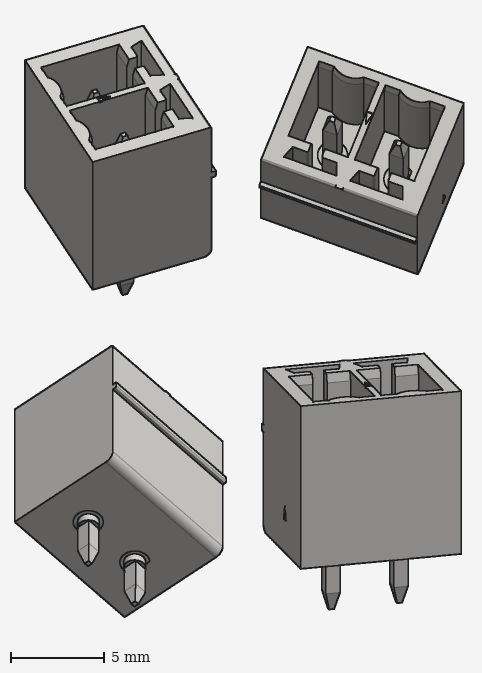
import cadquery as cq
import math


width = 9.01
height = 9.2
front_y = -2.99
depth = 6.99
back_y = front_y + depth
bottom_round = 0.5
top_round = 0.11
tab_width = 0.42

ridge_out = 0.25
ridge_height = 0.4
ridge_z = 5.57
ridge_round = 0.11

pole_pitch = 3.82
pole_xs = [-pole_pitch / 2, pole_pitch / 2]
floor_z = 2.52
divider = 0.39
socket_width = pole_pitch - divider
socket_front_y = front_y + 0.69
socket_back_y = front_y + 5.0
lead_in = 0.14
lead_in_drop = 0.5

rib_radius = 1.49
rib_reach = 0.3
rib_center_y = socket_front_y + rib_reach - rib_radius

slot_width = 0.8
slot_round = 0.08
dovetail_front_y = front_y + 5.66
dovetail_back_y = front_y + 6.36
dovetail_front_width = 2.52
dovetail_back_width = 3.02
dovetail_floor_z = 1.01

mark_depth = 0.1
side_mark_width = 0.42
side_mark_length = 0.75
side_mark_z = 1.85
top_mark_width = 0.37
top_mark_length = 0.7
top_mark_y = front_y + 2.32

pin_side = 0.81
tip_side = 0.28
tip_length = 1.01
total_height = 12.6
tail_bottom_z = height - total_height
contact_top_z = 7.99

seat_radius = 0.81
seat_flat = 0.48

collar_radius = 0.59
collar_height = 0.5
collar_xs = [-1.89, 1.89]


def box(x0, x1, y0, y1, z0, z1):
    """Box between two opposite corners."""
    return cq.Workplane("XY").box(x1 - x0, y1 - y0, z1 - z0, centered=False).translate((x0, y0, z0))


def make_pin(x, base_z, end_z):
    """Square pin from its base to a blunt pyramid tip, pointing up or down."""
    half = pin_side / 2
    direction = math.copysign(1, end_z - base_z)
    tip_base_z = end_z - direction * tip_length
    shank = box(x - half, x + half, -half, half, min(base_z, tip_base_z), max(base_z, tip_base_z))
    tip = (
        cq.Workplane("XY", origin=(x, 0, tip_base_z))
        .rect(pin_side, pin_side)
        .workplane(offset=direction * tip_length)
        .rect(tip_side, tip_side)
        .loft(ruled=True)
    )
    return shank.union(tip)


def make_contact(x):
    """Upper pin, standing on its seat inside the socket."""
    return make_pin(x, floor_z, contact_top_z)


def make_tail(x):
    """Lower pin, hanging from its collar."""
    return make_pin(x, -collar_height, tail_bottom_z)


def make_seat(x):
    """Round plug through the socket floor; the left one has a flat on its left side."""
    seat = cq.Workplane("XY", origin=(x, 0, 0)).circle(seat_radius).extrude(floor_z)
    if x < 0:
        seat = seat.cut(box(x - seat_radius, x - seat_flat, -seat_radius, seat_radius, 0, floor_z))
    return seat


def make_collar(x):
    """Round collar against the underside of its seat and the housing."""
    return cq.Workplane("XY", origin=(x, 0, -collar_height)).circle(collar_radius).extrude(collar_height)


def front_rib(x):
    """Round rib, narrowing like a cone over the height of the lead-in."""
    shoulder_z = height - lead_in_drop
    return (
        cq.Workplane("XZ", origin=(x, rib_center_y, 0))
        .moveTo(0, floor_z)
        .lineTo(rib_radius, floor_z)
        .lineTo(rib_radius, shoulder_z)
        .lineTo(rib_radius - lead_in, height)
        .lineTo(0, height)
        .close()
        .revolve(360, (0, 0, 0), (0, 1, 0))
    )


def socket_cutter(x):
    """Socket with sloped lead-ins at front and back, less the rib on its front wall."""
    shoulder_z = height - lead_in_drop
    outline = [
        (socket_front_y, floor_z),
        (socket_back_y, floor_z),
        (socket_back_y, shoulder_z),
        (socket_back_y + lead_in, height),
        (socket_front_y - lead_in, height),
        (socket_front_y, shoulder_z),
    ]
    profile = cq.Workplane("YZ", origin=(x - socket_width / 2, 0, 0)).polyline(outline).close()
    return profile.extrude(socket_width).cut(front_rib(x))


def slot_cutter(x):
    """Slot behind the socket, flaring with rounded corners where it meets the dovetail."""
    half = slot_width / 2
    round_y = dovetail_front_y - slot_round
    mouth_half = half + slot_round
    arc_inset = slot_round * (1 - math.sqrt(0.5))
    arc_y = dovetail_front_y - arc_inset
    return (
        cq.Workplane("XY", origin=(x, 0, floor_z))
        .moveTo(-half, socket_back_y)
        .lineTo(half, socket_back_y)
        .lineTo(half, round_y)
        .threePointArc((half + arc_inset, arc_y), (mouth_half, dovetail_front_y))
        .lineTo(-mouth_half, dovetail_front_y)
        .threePointArc((-half - arc_inset, arc_y), (-half, round_y))
        .close()
        .extrude(height - floor_z)
    )


def dovetail_cutter(x):
    """Dovetail pocket behind the slot, sunk deeper than the socket floor."""
    front_half = dovetail_front_width / 2
    back_half = dovetail_back_width / 2
    corners = [
        (-front_half, dovetail_front_y),
        (front_half, dovetail_front_y),
        (back_half, dovetail_back_y),
        (-back_half, dovetail_back_y),
    ]
    pocket = cq.Workplane("XY", origin=(x, 0, dovetail_floor_z)).polyline(corners).close()
    return pocket.extrude(height - dovetail_floor_z)


def housing_block():
    """Block with a rounded bottom back edge and a top back edge rounded beside its middle tab."""
    block = box(-width / 2, width / 2, front_y, back_y, 0, height)
    block = block.edges("<Z and >Y").fillet(bottom_round)
    tab = box(-tab_width / 2, tab_width / 2, back_y - top_round, back_y, height - top_round, height)
    return block.edges(">Z and >Y").fillet(top_round).union(tab)


def back_ridge():
    """Ridge across the back face with a rounded lower edge."""
    ridge = box(-width / 2, width / 2, back_y, back_y + ridge_out, ridge_z, ridge_z + ridge_height)
    return ridge.edges("<Z and >Y").fillet(ridge_round)


def triangle(plane, origin, base, length):
    """Thin isosceles triangle standing on its base, extruded along the plane's normal."""
    corners = [(-base / 2, 0), (base / 2, 0), (0, length)]
    return cq.Workplane(plane, origin=origin).polyline(corners).close().extrude(mark_depth)


def make_housing():
    housing = housing_block().union(back_ridge())
    for x in pole_xs:
        housing = housing.cut(socket_cutter(x))
        housing = housing.cut(slot_cutter(x)).cut(dovetail_cutter(x))
        housing = housing.cut(make_seat(x))
    side_mark = triangle("YZ", (-width / 2, 0, side_mark_z), side_mark_width, side_mark_length)
    top_mark = triangle("XY", (0, top_mark_y, height - mark_depth), top_mark_width, top_mark_length)
    return housing.cut(side_mark).cut(top_mark)


housing = make_housing()
contacts = [make_contact(x) for x in pole_xs]
seats = [make_seat(x) for x in pole_xs]
collars = [make_collar(x) for x in collar_xs]
tails = [make_tail(x) for x in pole_xs]

bodies = [housing, *contacts, *seats, *collars, *tails]
result = cq.Compound.makeCompound([body.val() for body in bodies])